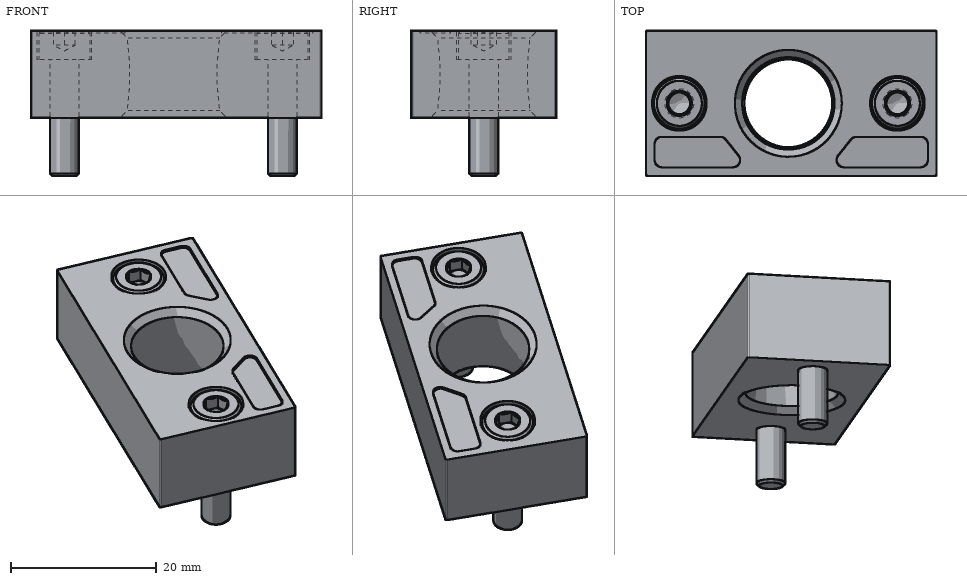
import cadquery as cq
import math

block_length = 40.0
block_width = 20.0
block_height = 12.0
corner_radius = 0.25
features_x = -0.4

waist_diameter = 12.0
wall_end_diameter = 12.7
mouth_diameter = 14.7
mouth_depth = (mouth_diameter - wall_end_diameter) / 2

screw_spacing = 30.0
shank_diameter = 4.0
shank_tip_diameter = 3.25
shank_tip_length = (shank_diameter - shank_tip_diameter) / 2
shank_reach = 8.0
head_diameter = 7.0
head_height = 4.0
head_chamfer = 0.4
counterbore_diameter = 7.5
counterbore_floor_fillet = 0.1
screw_xs = [features_x + side * screw_spacing / 2 for side in (-1, 1)]

socket_flats = 3.0
socket_depth = 2.0
socket_mouth_diameter = socket_flats / math.cos(math.radians(30))
socket_mouth_chamfer = (socket_mouth_diameter - socket_flats) / 2
socket_point_depth = 0.8

pocket_margin = 1.2
pocket_height = 4.2
pocket_depth = 0.3
pocket_corner_radius = 1.0
pocket_long_side_x = 5.55
pocket_short_side_x = 8.9


def make_bore():
    """Solid of revolution that fills the guide bore."""
    return (
        cq.Workplane("XZ", origin=(features_x, 0, 0))
        .lineTo(mouth_diameter / 2, 0)
        .lineTo(wall_end_diameter / 2, mouth_depth)
        .threePointArc(
            (waist_diameter / 2, block_height / 2),
            (wall_end_diameter / 2, block_height - mouth_depth),
        )
        .lineTo(mouth_diameter / 2, block_height)
        .lineTo(0, block_height)
        .close()
        .revolve(360, (0, 0, 0), (0, 1, 0))
    )


def make_pocket(side):
    """Cutter for the label pocket at the left (side -1) or the right (side +1)."""
    outer_x = side * (block_length / 2 - pocket_margin)
    long_x = features_x + side * pocket_long_side_x
    short_x = features_x + side * pocket_short_side_x
    front_y = pocket_margin - block_width / 2
    back_y = front_y + pocket_height
    return (
        cq.Workplane("XY", origin=(0, 0, block_height - pocket_depth))
        .polyline([(outer_x, front_y), (long_x, front_y), (short_x, back_y), (outer_x, back_y)])
        .close()
        .extrude(pocket_depth)
        .edges("|Z")
        .fillet(pocket_corner_radius)
    )


def make_screw_hole(x):
    """Cutter for a shank hole and a head counterbore with a rounded floor edge."""
    counterbore = (
        cq.Workplane("XY", origin=(x, 0, block_height - head_height))
        .circle(counterbore_diameter / 2)
        .extrude(head_height)
        .faces("<Z")
        .edges()
        .fillet(counterbore_floor_fillet)
    )
    shank_hole = (
        cq.Workplane("XY", origin=(x, 0, 0))
        .circle(shank_diameter / 2)
        .extrude(block_height)
    )
    return counterbore.union(shank_hole)


def make_block():
    block = (
        cq.Workplane("XY")
        .box(block_length, block_width, block_height, centered=(True, True, False))
        .edges("|Z")
        .fillet(corner_radius)
    )
    block = block.cut(make_bore())
    for x in screw_xs:
        block = block.cut(make_screw_hole(x))
    for side in (-1, 1):
        block = block.cut(make_pocket(side))
    return block


def make_socket():
    """Cutter for the hexagon socket: chamfered mouth, hexagon and conical bottom."""
    floor = block_height - socket_depth
    hexagon = (
        cq.Workplane("XY", origin=(0, 0, floor))
        .polygon(6, socket_flats, circumscribed=True)
        .extrude(socket_depth)
    )
    mouth = cq.Workplane(
        cq.Solid.makeCone(
            socket_flats / 2,
            socket_mouth_diameter / 2,
            socket_mouth_chamfer,
            pnt=cq.Vector(0, 0, block_height - socket_mouth_chamfer),
        )
    )
    point = cq.Workplane(
        cq.Solid.makeCone(
            0,
            socket_flats / 2,
            socket_point_depth,
            pnt=cq.Vector(0, 0, floor - socket_point_depth),
        )
    )
    return hexagon.union(mouth).union(point)


def make_screw(x):
    head_bottom = block_height - head_height
    shank = (
        cq.Workplane("XY", origin=(0, 0, -shank_reach))
        .circle(shank_diameter / 2)
        .extrude(shank_reach + head_bottom)
        .faces("<Z")
        .chamfer(shank_tip_length)
    )
    head = (
        cq.Workplane("XY", origin=(0, 0, head_bottom))
        .circle(head_diameter / 2)
        .extrude(head_height)
        .faces(">Z")
        .chamfer(head_chamfer)
    )
    return shank.union(head).cut(make_socket()).translate((x, 0, 0))


block = make_block()
screws = [make_screw(x) for x in screw_xs]

result = cq.Compound.makeCompound([block.val(), *[screw.val() for screw in screws]])